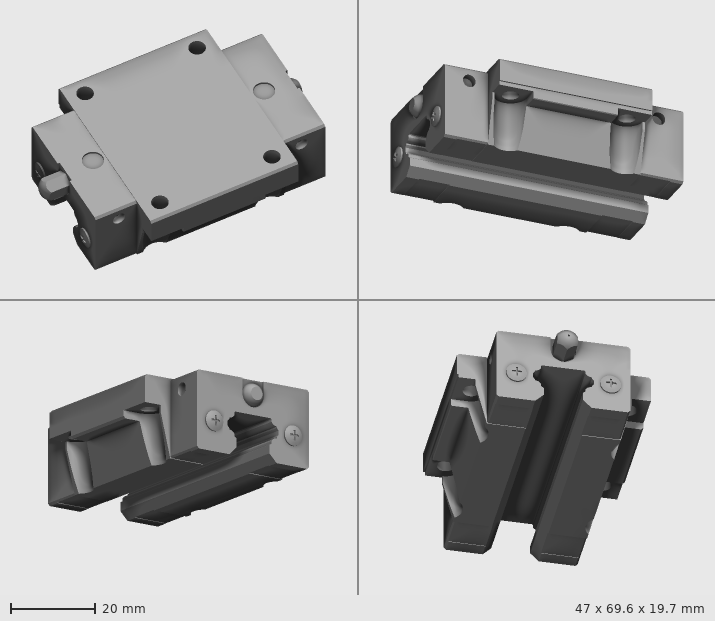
import cadquery as cq
import math


TOP = 19.7
FLANGE_HALF = 23.5
FRONT_END = -34.8
REAR_END = 34.8
MIDDLE_Y = 2.4

BLOCK_LENGTH = 39.45
EDGE_CHAMFER = 0.55
RELIEF_DEPTH = 0.4
RELIEF_TOP = 13.7
RELIEF_CHAMFER = 0.2
PAD_BOTTOM = 10.8
WAIST_HALF = 18.9
FOOT_HALF = 16.2

HOLE_DIAMETER = 4.2
HOLE_X = 19.0
HOLE_Y = 15.0
HEAD_CLEARANCE_DIAMETER = 8.2
HEAD_SEAT = 12.7

BODY_LENGTH = 61.6
CAP_TOP = 19.5
CAP_BOTTOM = 0.15
SEAL_THICKNESS = 3.2
PORT_OFFSET_Y = 22.95
PORT_DIAMETER = 5.3
PORT_DEPTH = 0.55
SIDE_HOLE_OFFSET_Y = 24.5
SIDE_HOLE_Z = 16.0
SIDE_HOLE_DIAMETER = 3.3
SIDE_HOLE_DEPTH = 2.1

RAIL_AXIS_Z = 7.6
ROOF_Z = 10.8

FITTING_Z = 15.7
NOTCH_WIDTH = 6.1
NOTCH_DEPTH = 0.55
HEX_FLATS = 5.0
NIPPLE_DOME_RADIUS = 3.1
NIPPLE_BORE = 0.5
NIPPLE_BORE_DEPTH = 3.5
PLUG_DIAMETER = 5.8
PLUG_CROWN_DIAMETER = 3.3
PLUG_RIM = 0.2

SCREW_X = 11.4
SCREW_Z = 7.45
SCREW_DIAMETER = 5.0
SCREW_RIM = 0.4
SCREW_HEIGHT = 1.0
CROSS_LENGTH = 2.5
CROSS_WIDTH = 0.5
CROSS_DEPTH = 0.55

FRONT_FACE = MIDDLE_Y - BODY_LENGTH / 2
REAR_FACE = MIDDLE_Y + BODY_LENGTH / 2
BLOCK_HALF = BLOCK_LENGTH / 2


def along_y(sketch_plane_y):
    """XZ sketch plane at a Y position; its normal is -Y, so negative extrusions run toward +Y."""
    return cq.Workplane("XZ", origin=(0, sketch_plane_y, 0))


def prism_y(points, y_start, length):
    return along_y(y_start).polyline(points).close().extrude(-length)


def box_between(x0, x1, y0, y1, z0, z1):
    return cq.Workplane("XY").box(x1 - x0, y1 - y0, z1 - z0, centered=False).translate((x0, y0, z0))


def flanged_block():
    left_edge = -FLANGE_HALF + RELIEF_DEPTH
    outline = [
        (-FOOT_HALF, 0),
        (-WAIST_HALF, PAD_BOTTOM),
        (left_edge + RELIEF_CHAMFER, PAD_BOTTOM),
        (left_edge, PAD_BOTTOM + RELIEF_CHAMFER),
        (left_edge, RELIEF_TOP),
        (-FLANGE_HALF, RELIEF_TOP),
        (-FLANGE_HALF, TOP - EDGE_CHAMFER),
        (-FLANGE_HALF + EDGE_CHAMFER, TOP),
        (FLANGE_HALF - EDGE_CHAMFER, TOP),
        (FLANGE_HALF, TOP - EDGE_CHAMFER),
        (FLANGE_HALF, PAD_BOTTOM + EDGE_CHAMFER),
        (FLANGE_HALF - EDGE_CHAMFER, PAD_BOTTOM),
        (WAIST_HALF, PAD_BOTTOM),
        (FOOT_HALF, 0),
    ]
    return prism_y(outline, MIDDLE_Y - BLOCK_HALF, BLOCK_LENGTH)


def bolt_cuts(side, end):
    """Through hole, bolt-head clearance and thinned flange end at one corner."""
    x = side * HOLE_X
    y = MIDDLE_Y + end * HOLE_Y
    hole = cq.Workplane("XY").center(x, y).circle(HOLE_DIAMETER / 2).extrude(TOP)
    head = cq.Workplane("XY").center(x, y).circle(HEAD_CLEARANCE_DIAMETER / 2).extrude(HEAD_SEAT)
    x_limits = sorted((side * WAIST_HALF, side * FLANGE_HALF))
    y_limits = sorted((y - end * HEAD_CLEARANCE_DIAMETER / 2, MIDDLE_Y + end * BLOCK_HALF))
    thinning = box_between(*x_limits, *y_limits, PAD_BOTTOM, HEAD_SEAT)
    return hole.union(head).union(thinning)


def end_body(y_start, length, bottom):
    """Chamfered bar, trimmed flat at the given bottom height, for an end cap or a seal plate."""
    y_end = y_start + length
    bar = box_between(-FOOT_HALF, FOOT_HALF, y_start, y_end, 0, CAP_TOP).edges("|Y").chamfer(EDGE_CHAMFER)
    return bar.intersect(box_between(-FOOT_HALF, FOOT_HALF, y_start, y_end, bottom, CAP_TOP))


def rail_passage():
    """Rail clearance with a lip on each side, running the whole length."""
    throat_x = 4.7
    throat_top = 4.2
    throat_bottom = 2.1
    lip_x = 5.35
    lip_z = 2.35
    shoulder = 0.6
    neck_x = 6.9
    lip_end_z = 1.45
    bevel_z = 1.1
    pocket_x = 7.4
    pocket_z = 0.55
    arc_x = 5.85
    arc_z = 1.8
    roof_chamfer = 0.2

    def above(offset):
        return RAIL_AXIS_Z + offset

    def below(offset):
        return RAIL_AXIS_Z - offset

    half = (
        along_y(FRONT_FACE)
        .moveTo(0, 0)
        .lineTo(throat_x + throat_bottom, 0)
        .lineTo(throat_x, throat_bottom)
        .lineTo(throat_x, throat_top)
        .lineTo(lip_x, below(lip_z + shoulder))
        .lineTo(lip_x, below(lip_z))
        .threePointArc((arc_x, below(arc_z)), (neck_x, below(lip_end_z)))
        .lineTo(neck_x, below(bevel_z))
        .lineTo(pocket_x, below(pocket_z))
        .lineTo(pocket_x, above(pocket_z))
        .lineTo(neck_x, above(bevel_z))
        .lineTo(neck_x, above(lip_end_z))
        .threePointArc((arc_x, above(arc_z)), (lip_x, above(lip_z)))
        .lineTo(lip_x, ROOF_Z - roof_chamfer)
        .lineTo(lip_x - roof_chamfer, ROOF_Z)
        .lineTo(0, ROOF_Z)
        .close()
        .extrude(-BODY_LENGTH)
    )
    return half.union(half.mirror("YZ"))


def fitting_notch(y_start):
    """Shallow U-shaped notch open to the top of a seal plate."""
    round_end = along_y(y_start).center(0, FITTING_Z).circle(NOTCH_WIDTH / 2).extrude(-NOTCH_DEPTH)
    half = NOTCH_WIDTH / 2
    return round_end.union(box_between(-half, half, y_start, y_start + NOTCH_DEPTH, FITTING_Z, TOP))


def grease_nipple():
    base_y = FRONT_FACE + NOTCH_DEPTH
    length = base_y - FRONT_END
    corner_diameter = HEX_FLATS / math.cos(math.pi / 6)
    hexagon = (
        along_y(base_y)
        .center(0, FITTING_Z)
        .transformed(rotate=(0, 0, 90))
        .polygon(6, corner_diameter)
        .extrude(length)
    )
    envelope = domed_button(2 * NIPPLE_DOME_RADIUS, length - NIPPLE_DOME_RADIUS, length, NIPPLE_BORE)
    envelope = envelope.rotate((0, 0, 0), (0, 0, 1), 180).translate((0, base_y, FITTING_Z))
    bore = along_y(FRONT_END).center(0, FITTING_Z).circle(NIPPLE_BORE / 2).extrude(-NIPPLE_BORE_DEPTH)
    return hexagon.intersect(envelope).cut(bore)


def domed_button(diameter, rim, height, crown_diameter=0):
    """Round button along +Y from the origin: straight rim, then a dome that may end in a flat crown."""
    radius = diameter / 2
    crown_radius = crown_diameter / 2
    rise = height - rim
    centre_y = rim + (rise**2 + crown_radius**2 - radius**2) / (2 * rise)
    sphere_radius = math.hypot(radius, rim - centre_y)
    mid_angle = (math.atan2(rim - centre_y, radius) + math.atan2(height - centre_y, crown_radius)) / 2
    mid_point = (sphere_radius * math.cos(mid_angle), centre_y + sphere_radius * math.sin(mid_angle))
    profile = (
        cq.Workplane("XY")
        .moveTo(0, 0)
        .lineTo(radius, 0)
        .lineTo(radius, rim)
        .threePointArc(mid_point, (crown_radius, height))
    )
    if crown_radius > 0:
        profile = profile.lineTo(0, height)
    return profile.close().revolve(360, (0, 0, 0), (0, 1, 0))


def plug():
    base_y = REAR_FACE - NOTCH_DEPTH
    button = domed_button(PLUG_DIAMETER, PLUG_RIM, REAR_END - base_y, PLUG_CROWN_DIAMETER)
    return button.translate((0, base_y, FITTING_Z))


def cap_screw():
    """Cross-recessed screw head along +Y from the origin."""
    head = domed_button(SCREW_DIAMETER, SCREW_RIM, SCREW_HEIGHT)
    for length, width in ((CROSS_LENGTH, CROSS_WIDTH), (CROSS_WIDTH, CROSS_LENGTH)):
        slot = along_y(SCREW_HEIGHT - CROSS_DEPTH).rect(length, width).extrude(-CROSS_DEPTH)
        head = head.cut(slot)
    return head


body = flanged_block()
for side in (-1, 1):
    for end in (-1, 1):
        body = body.cut(bolt_cuts(side, end))

cap_length = (BODY_LENGTH - BLOCK_LENGTH) / 2 - SEAL_THICKNESS
body = body.union(end_body(FRONT_FACE + SEAL_THICKNESS, cap_length, CAP_BOTTOM))
body = body.union(end_body(MIDDLE_Y + BLOCK_HALF, cap_length, CAP_BOTTOM))
body = body.union(end_body(FRONT_FACE, SEAL_THICKNESS, 0))
body = body.union(end_body(REAR_FACE - SEAL_THICKNESS, SEAL_THICKNESS, 0))

body = body.cut(rail_passage())

for end in (-1, 1):
    port_y = MIDDLE_Y + end * PORT_OFFSET_Y
    port = cq.Workplane("XY").circle(PORT_DIAMETER / 2).extrude(PORT_DEPTH)
    body = body.cut(port.translate((0, port_y, CAP_TOP - PORT_DEPTH)))
    side_hole_y = MIDDLE_Y + end * SIDE_HOLE_OFFSET_Y
    for side in (-1, 1):
        side_hole = cq.Workplane("YZ").circle(SIDE_HOLE_DIAMETER / 2).extrude(-side * SIDE_HOLE_DEPTH)
        body = body.cut(side_hole.translate((side * FOOT_HALF, side_hole_y, SIDE_HOLE_Z)))

body = body.cut(fitting_notch(FRONT_FACE))
body = body.cut(fitting_notch(REAR_FACE - NOTCH_DEPTH))
body = body.union(grease_nipple())
body = body.union(plug())

for x in (-SCREW_X, SCREW_X):
    body = body.union(cap_screw().translate((x, REAR_FACE, SCREW_Z)))
    front_screw = cap_screw().rotate((0, 0, 0), (0, 0, 1), 180)
    body = body.union(front_screw.translate((x, FRONT_FACE, SCREW_Z)))

result = body